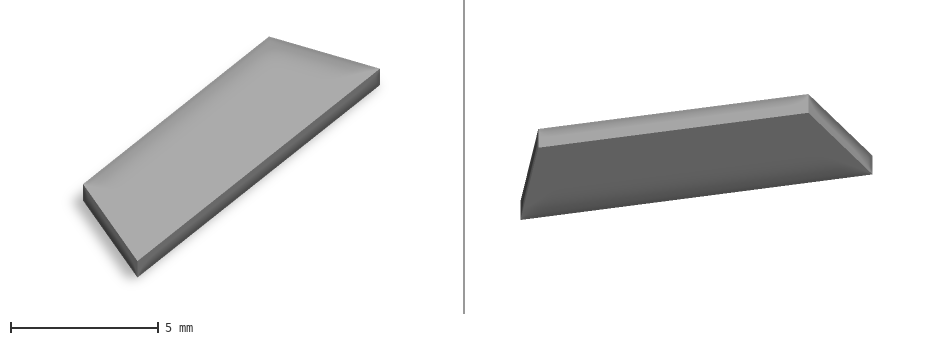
import cadquery as cq

width = 3.8
long_side = 12.21
short_side = 9.37
thickness = 0.8

outline = [
    (-width / 2, -short_side / 2),
    (width / 2, -long_side / 2),
    (width / 2, long_side / 2),
    (-width / 2, short_side / 2),
]

result = cq.Workplane("XY").polyline(outline).close().extrude(thickness)